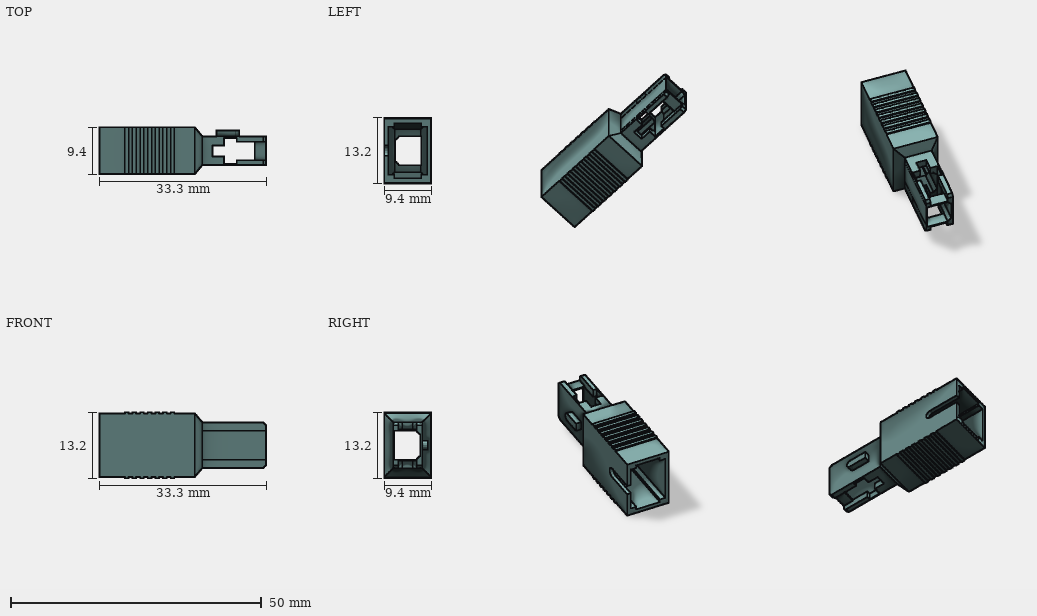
import cadquery as cq

total_length = 33.27
body_length = 19.05
body_width = 9.398
body_height = 12.7
shoulder_length = 1.524
plug_width = 5.715
plug_height = 9.144
tip_chamfer = 0.56

rib_count = 7
rib_start = 5.08
rib_width = 0.762
rib_pitch = 2 * rib_width
rib_height = 0.254

socket_width = 7.75
socket_height = 9.65
groove_width = 5.334
groove_span = 10.92
funnel_end_width = 5.13
funnel_end_height = 8.51
funnel_length = 1.05

keyway_width = 2.08
keyway_length = 7.62
key_start = 23.37
key_length = 4.6
key_width = 1.778
key_rise = 1.19

passage_min_y = -2.67
passage_max_y = 2.46
passage_height = 5.715
passage_bevel = 0.76

window_center_y = -0.07
window_start = 22.6
window_mid_start = 24.89
window_mid_end = 27.38
window_neck_width = 2.11
window_mid_width = 5.17
window_front_width = 3.66

bridge_length = 2.286
bridge_span = 6.3

shoulder_end = body_length + shoulder_length
funnel_end = body_length + funnel_length
bridge_start = total_length - bridge_length


def box(x_start, x_end, width, height, center_z=0):
    """Box between two X stations, centred on Y."""
    length = x_end - x_start
    return cq.Workplane("XY").box(length, width, height).translate((x_start + length / 2, 0, center_z))


def frustum(x_start, x_end, start_size, end_size):
    """Rectangular taper along X; sizes are (width, height)."""
    return (
        cq.Workplane("YZ", origin=(x_start, 0, 0))
        .rect(*start_size)
        .workplane(offset=x_end - x_start)
        .rect(*end_size)
        .loft(ruled=True)
    )


def round_ended_bar(x_start, x_end, width, y_start, y_end):
    """Flat bar along X with a full round at its +X end, extruded along Y."""
    radius = width / 2
    return (
        cq.Workplane("XZ", origin=(0, y_start, 0))
        .moveTo(x_start, -radius)
        .lineTo(x_end - radius, -radius)
        .threePointArc((x_end, 0), (x_end - radius, radius))
        .lineTo(x_start, radius)
        .close()
        .extrude(y_start - y_end)
    )


def outer_shell():
    body = box(0, body_length, body_width, body_height)
    shoulder = frustum(body_length, shoulder_end, (body_width, body_height), (plug_width, plug_height))
    plug = box(shoulder_end, total_length, plug_width, plug_height)
    plug = plug.faces(">X").edges("|Y").chamfer(tip_chamfer)
    return body.union(shoulder).union(plug)


def grip_ribs():
    ribs = cq.Workplane("XY")
    for index in range(rib_count):
        x_start = rib_start + index * rib_pitch
        ribs = ribs.union(box(x_start, x_start + rib_width, body_width, body_height + 2 * rib_height))
    return ribs


def socket():
    profile = box(0, funnel_end, socket_width, socket_height)
    profile = profile.union(box(0, funnel_end, groove_width, groove_span))
    envelope = box(0, body_length, socket_width, groove_span)
    funnel = frustum(
        body_length, funnel_end, (socket_width, groove_span), (funnel_end_width, funnel_end_height)
    )
    return profile.intersect(envelope.union(funnel))


def passage():
    center_y = (passage_min_y + passage_max_y) / 2
    return (
        cq.Workplane("YZ", origin=(body_length, center_y, 0))
        .rect(passage_max_y - passage_min_y, passage_height)
        .extrude(total_length - body_length)
        .edges("|X and >Y")
        .chamfer(passage_bevel)
    )


def window():
    neck = box(window_start, window_mid_start, window_neck_width, plug_height)
    middle = box(window_mid_start, window_mid_end, window_mid_width, plug_height)
    front = box(window_mid_end, bridge_start, window_front_width, plug_height)
    return neck.union(middle).union(front).translate((0, window_center_y, 0))


def bridge_recesses():
    depth = (plug_height - bridge_span) / 2
    center_z = (plug_height - depth) / 2
    upper = box(bridge_start, total_length, window_front_width, depth, center_z)
    lower = box(bridge_start, total_length, window_front_width, depth, -center_z)
    return upper.union(lower).translate((0, window_center_y, 0))


plug_side = plug_width / 2
key = round_ended_bar(key_start, key_start + key_length, key_width, plug_side, plug_side + key_rise)
keyway = round_ended_bar(0, keyway_length, keyway_width, 0, body_width / 2)

result = (
    outer_shell()
    .union(grip_ribs())
    .cut(socket())
    .cut(keyway)
    .cut(passage())
    .cut(window())
    .cut(bridge_recesses())
    .union(key)
)